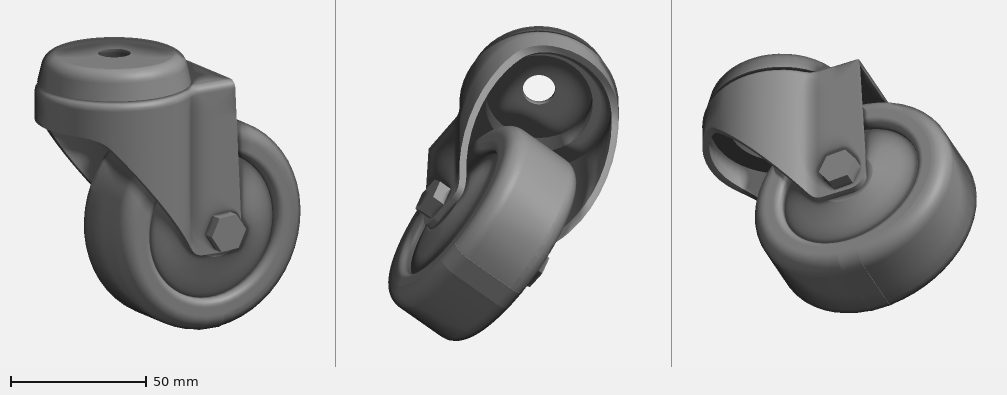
import cadquery as cq
import math


wheel_radius = 40.0
wheel_offset = 34.0
wheel_width = 32.0
tread_edge_radius = 6.0
rim_lip_radius = 30.3
dish_radius = 27.4
hub_radius = 10.8
hub_width = 35.3
contact_length = 8.3
dish_slope = 1 / 3

axle_radius = 4.3
bolt_length = 51.3
hex_across_flats = 13.0
hex_tilt = 4.0

sheet = 2.6
fork_top = 96.5
collar_radius = 29.5
leg_half_width = 20.6
waist_radius = 6.5
waist_y = 23.8
fork_edge_radius = 3.0
leg_end_drop = 8.4
back_top_y = 39.7
leg_back_y = 42.5
heel_radius = 5.9
front_bottom = 83.0
brace_angle = 50.1
brace_y = -0.5
brace_z = 59.6
brace_top_radius = 12.4
brace_foot_radius = 6.5

cap_bottom = 97.2
cap_top = 108.0
cap_bottom_radius = 28.5
cap_shoulder_radius = 26.9
cap_shoulder_z = 103.9
cap_face_radius = 22.4
bolt_hole_radius = 6.0
neck_radius = 22.5
neck_bore_radius = neck_radius - sheet


def make_wheel():
    """Solid of revolution about the axle, drawn as half-width against radius."""
    half = wheel_width / 2
    hub_half = hub_width / 2
    dish_half = hub_half - (dish_radius - hub_radius) * dish_slope
    lip = rim_lip_radius - dish_radius
    bend = math.sqrt(0.5)
    edge = tread_edge_radius

    def roll_over(side):
        center = side * (half - lip)
        return (center + side * lip * bend, rim_lip_radius - lip * bend)

    def tread_corner(side):
        middle = wheel_radius - edge + edge * bend
        return (side * (half - edge + edge * bend), middle)

    profile = (
        cq.Workplane("XY")
        .moveTo(-hub_half, 0)
        .lineTo(-hub_half, hub_radius)
        .lineTo(-dish_half, dish_radius)
        .lineTo(lip - half, dish_radius)
        .threePointArc(roll_over(-1), (-half, rim_lip_radius))
        .lineTo(-half, wheel_radius - edge)
        .threePointArc(tread_corner(-1), (edge - half, wheel_radius))
        .lineTo(half - edge, wheel_radius)
        .threePointArc(tread_corner(1), (half, wheel_radius - edge))
        .lineTo(half, rim_lip_radius)
        .threePointArc(roll_over(1), (half - lip, dish_radius))
        .lineTo(dish_half, dish_radius)
        .lineTo(hub_half, hub_radius)
        .lineTo(hub_half, 0)
        .close()
    )
    wheel = profile.revolve(360, (0, 0, 0), (1, 0, 0))
    return wheel.translate((0, wheel_offset, wheel_radius))


def contact_pad():
    """Short straight run of the tyre section, tangent to the tread at the ground."""
    depth = wheel_radius - rim_lip_radius
    center = (0, wheel_offset, depth / 2)
    pad = cq.Workplane("XY", origin=center).box(wheel_width, contact_length, depth)
    return pad.edges("<Z and |Y").fillet(tread_edge_radius)


def make_bolt():
    """Axle with a hexagon at each end, outside the fork legs."""
    def along_axle(length):
        return (
            cq.Workplane("YZ")
            .center(wheel_offset, wheel_radius)
            .workplane(offset=-length / 2)
        )

    axle = along_axle(bolt_length).circle(axle_radius).extrude(bolt_length)
    hexagon = (
        along_axle(bolt_length)
        .transformed(rotate=(0, 0, hex_tilt))
        .polygon(6, hex_across_flats / math.cos(math.pi / 6))
        .extrude(bolt_length)
    )
    fork_width = 2 * leg_half_width
    between_legs = along_axle(fork_width).circle(hex_across_flats).extrude(fork_width)
    return hexagon.cut(between_legs).union(axle)


def fork_plan(inset):
    """Outline of the bent fork seen along Z, moved inwards by inset."""
    leg_x = leg_half_width - inset
    radius = collar_radius - inset
    blend_x = leg_half_width + waist_radius
    blend_radius = waist_radius + inset
    blend_angle = math.atan2(waist_y, blend_x)
    tangent = (radius * math.cos(blend_angle), radius * math.sin(blend_angle))
    mid_angle = math.pi + blend_angle / 2
    waist_mid = (
        blend_x + blend_radius * math.cos(mid_angle),
        waist_y + blend_radius * math.sin(mid_angle),
    )
    back_y = wheel_offset + 2 * leg_end_drop
    return (
        cq.Workplane("XY")
        .moveTo(leg_x, back_y)
        .lineTo(leg_x, waist_y)
        .threePointArc(waist_mid, tangent)
        .threePointArc((0, -radius), (-tangent[0], tangent[1]))
        .threePointArc((-waist_mid[0], waist_mid[1]), (-leg_x, waist_y))
        .lineTo(-leg_x, back_y)
        .close()
    )


def fork_side():
    """Side silhouette of the fork, as a slab wider than the fork."""
    slope = math.tan(math.radians(brace_angle))
    leg_bottom = wheel_radius - leg_end_drop
    foot_y = brace_y + (brace_z - leg_bottom) / slope
    top_y = brace_y - (front_bottom - brace_z) / slope
    front_y = -collar_radius - sheet

    back_slope = (leg_back_y - back_top_y) / (fork_top - wheel_radius)
    heel_y = leg_back_y + back_slope * leg_end_drop
    slab = (
        cq.Workplane("YZ")
        .moveTo(front_y, fork_top)
        .lineTo(front_y, front_bottom)
        .lineTo(top_y, front_bottom)
        .lineTo(foot_y, leg_bottom)
        .lineTo(heel_y, leg_bottom)
        .lineTo(back_top_y, fork_top)
        .close()
        .extrude(collar_radius + sheet, both=True)
    )
    near = 0.1
    corners = (
        (top_y, front_bottom, brace_top_radius),
        (foot_y, leg_bottom, brace_foot_radius),
        (heel_y, leg_bottom, heel_radius),
    )
    for y, z, radius in corners:
        selector = cq.selectors.BoxSelector(
            (-near, y - near, z - near),
            (near, y + near, z + near),
        )
        slab = slab.edges(selector).fillet(radius)
    return slab


def make_fork():
    """Bent sheet: a closed top over a collar and two legs, open below and behind."""
    outer = fork_plan(0).extrude(fork_top)
    outer = outer.faces(">Z").edges("not >Y").fillet(fork_edge_radius)
    inner = fork_plan(sheet).extrude(fork_top - sheet)
    return outer.cut(inner).intersect(fork_side())


def make_cap():
    """Tapered cap with a rounded shoulder, standing on the neck."""
    cap = (
        cq.Workplane("XZ")
        .moveTo(0, cap_bottom)
        .lineTo(cap_bottom_radius, cap_bottom)
        .lineTo(cap_shoulder_radius, cap_shoulder_z)
        .tangentArcPoint((cap_face_radius, cap_top), relative=False)
        .lineTo(0, cap_top)
        .close()
        .revolve(360, (0, 0, 0), (0, 1, 0))
    )
    neck_bottom = fork_top - sheet
    neck = (
        cq.Workplane("XY", origin=(0, 0, neck_bottom))
        .circle(neck_radius)
        .extrude(cap_bottom - neck_bottom)
    )
    return cap.union(neck)


def swivel_bore():
    """Wide bore up through the neck, closed by the cap except for the bolt hole."""
    bore_bottom = fork_top - sheet
    bore_top = cap_top - sheet
    bore = (
        cq.Workplane("XY", origin=(0, 0, bore_bottom))
        .circle(neck_bore_radius)
        .extrude(bore_top - bore_bottom)
    )
    hole = (
        cq.Workplane("XY", origin=(0, 0, bore_bottom))
        .circle(bolt_hole_radius)
        .extrude(cap_top - bore_bottom)
    )
    return bore.union(hole)


result = (
    make_fork()
    .union(make_cap())
    .cut(swivel_bore())
    .union(make_wheel())
    .union(contact_pad())
    .union(make_bolt())
)